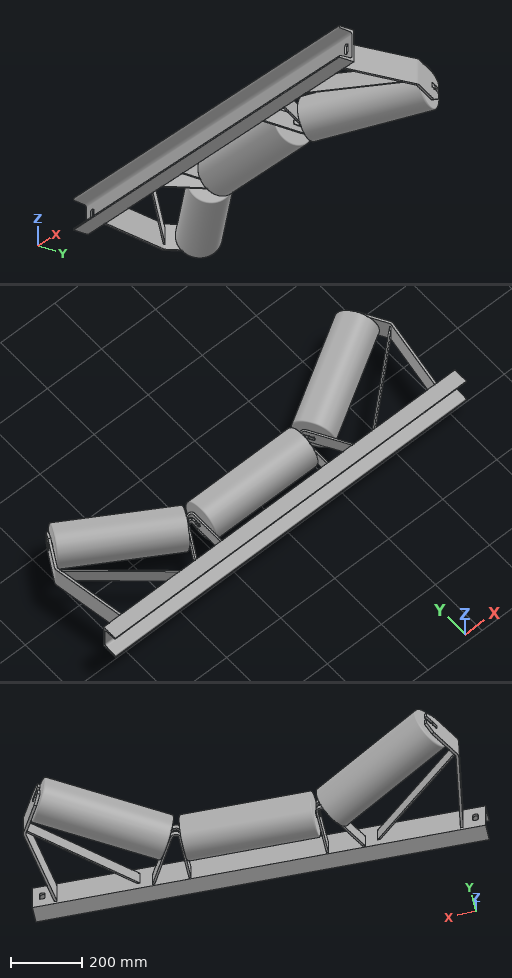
import cadquery as cq
import math

beam_length = 1300.0
beam_height = 100.0
beam_depth = 50.0
web_thickness = 6.0
flange_thickness = 8.5
flange_slope = 0.08
root_radius = 8.5
toe_radius = 4.5
beam_slot_width = 16.0
beam_slot_height = 32.0
beam_slot_end_distance = 29.0

roller_diameter = 133.0
roller_length = 380.0
roller_edge_radius = 5.0
shaft_diameter = 20.0
shaft_flat_width = 14.0
end_gap = 4.0
trough_angle = 30.0
forward_tilt = 2.96
center_roller_y = 118.0
center_roller_z = -19.0
side_roller_x = -400.0
side_roller_y = 223.9
side_roller_z = center_roller_z / 2

plate_height = 80.0
plate_thickness = 8.0
bend_radius = 8.0
inner_bend_radius = 6.0
inner_bracket_top = 150.0
outer_foot_x = -582.0
outer_bend_y = 238.0
outer_tip_above_shaft = 34.0
tip_chamfer_along = 31.0
tip_chamfer_across = 15.0
brace_thickness = 5.0
brace_height = 50.0
inner_plate_thickness = 6.0
inner_plate_height = 50.0
brace_foot_x = -344.0
brace_top_y = 240.0

shaft_half_length = roller_length / 2 + end_gap + plate_thickness
plate_mid_offset = shaft_half_length - plate_thickness / 2
inner_plate_mid_offset = roller_length / 2 + end_gap + inner_plate_thickness / 2
sin_trough = math.sin(math.radians(trough_angle))
cos_trough = math.cos(math.radians(trough_angle))
sin_tilt = math.sin(math.radians(forward_tilt))
cos_tilt = math.cos(math.radians(forward_tilt))
trim_margin = 20.0

center_plane = cq.Plane(
    origin=(0, center_roller_y, center_roller_z),
    xDir=(0, 1, 0),
    normal=(1, 0, 0),
)
side_plane = cq.Plane(
    origin=(side_roller_x, side_roller_y, side_roller_z),
    xDir=(sin_trough, cos_trough, 0),
    normal=(cos_trough * cos_tilt, -sin_trough * cos_tilt, -sin_tilt),
)


def mirrored(body):
    return body.mirror("YZ")


def make_beam():
    top = beam_height / 2
    mid_flange = beam_depth / 2
    toe_z = top - flange_thickness + flange_slope * mid_flange
    root_z = top - flange_thickness - flange_slope * (mid_flange - web_thickness)
    profile = (
        cq.Workplane("YZ")
        .polyline([
            (0, -top), (0, top), (-beam_depth, top), (-beam_depth, toe_z), (-web_thickness, root_z),
            (-web_thickness, -root_z), (-beam_depth, -toe_z), (-beam_depth, -top),
        ])
        .close()
        .extrude(beam_length / 2, both=True)
    )
    roots = cq.selectors.BoxSelector(
        (-1, -web_thickness - 1, -root_z - 1), (1, -web_thickness + 1, root_z + 1)
    )
    toes = cq.selectors.BoxSelector(
        (-1, -beam_depth - 1, -toe_z - 1), (1, -beam_depth + 1, toe_z + 1)
    )
    beam = profile.edges("|X").edges(roots).fillet(root_radius)
    beam = beam.edges("|X").edges(toes).fillet(toe_radius)
    slot_x = beam_length / 2 - beam_slot_end_distance
    slots = (
        cq.Workplane("XZ")
        .pushPoints([(-slot_x, 0), (slot_x, 0)])
        .slot2D(beam_slot_height, beam_slot_width, 90)
        .extrude(beam_depth)
    )
    return beam.cut(slots)


def make_roller(plane):
    shell = (
        cq.Workplane(plane)
        .workplane(offset=-roller_length / 2)
        .circle(roller_diameter / 2)
        .extrude(roller_length)
        .edges("%CIRCLE")
        .fillet(roller_edge_radius)
    )
    shaft = cq.Workplane(plane).circle(shaft_diameter / 2).extrude(shaft_half_length, both=True)
    flats = cq.Workplane(plane).box(shaft_diameter, shaft_flat_width, 2 * shaft_half_length)
    return shell.union(shaft.intersect(flats))


def shaft_slot(plane, direction):
    """Slot with a round bottom, open toward local X, at one shaft end."""
    reach = roller_diameter
    length = plate_thickness * 4
    start = direction * (plate_mid_offset - length / 2)
    opening = (
        cq.Workplane(plane).workplane(offset=start)
        .center(reach / 2, 0)
        .rect(reach, shaft_flat_width)
        .extrude(direction * length)
    )
    bottom = cq.Workplane(plane).workplane(offset=start).circle(shaft_diameter / 2).extrude(direction * length)
    flats = cq.Workplane(plane).box(shaft_diameter, shaft_flat_width, 4 * shaft_half_length)
    return opening.union(bottom.intersect(flats))


def offset_path(points, distance):
    """Open path moved sideways by distance, with mitred corners."""
    normals = []
    for start, end in zip(points, points[1:]):
        length = math.dist(start, end)
        normals.append(((start[1] - end[1]) / length, (end[0] - start[0]) / length))
    before = normals[:1] + normals
    after = normals + normals[-1:]
    moved = []
    for point, a, b in zip(points, before, after):
        scale = distance / (1 + a[0] * b[0] + a[1] * b[1])
        moved.append((point[0] + scale * (a[0] + b[0]), point[1] + scale * (a[1] + b[1])))
    return moved


def make_strip(path, thickness, height, inside_radius=0):
    """Upright strip along a path in XY, centred on Z = 0, with rounded bends and trimmed at Y = 0."""
    left = offset_path(path, thickness / 2)
    right = offset_path(path, -thickness / 2)
    strip = cq.Workplane("XY").polyline(left + right[::-1]).close().extrude(height / 2, both=True)
    for i in range(1, len(path) - 1):
        a, b, c = path[i - 1], path[i], path[i + 1]
        turn = (b[0] - a[0]) * (c[1] - b[1]) - (b[1] - a[1]) * (c[0] - b[0])
        inside, outside = (left[i], right[i]) if turn > 0 else (right[i], left[i])
        for corner, radius in ((inside, inside_radius), (outside, inside_radius + thickness)):
            strip = strip.edges(cq.selectors.NearestToPointSelector((*corner, 0))).fillet(radius)
    beam_side = cq.Workplane("XY").box(beam_length, beam_length, beam_height).translate((0, -beam_length / 2, 0))
    return strip.cut(beam_side)


def side_point(along, up):
    """Point in XY at a distance along the side roller axis and up across it."""
    return (
        side_roller_x + along * cos_trough + up * sin_trough,
        side_roller_y - along * sin_trough + up * cos_trough,
    )


def side_point_at_y(along, y):
    up = (y - side_roller_y + along * sin_trough) / cos_trough
    return side_point(along, up)


outer_bend = side_point_at_y(-plate_mid_offset, outer_bend_y)


def make_outer_bracket():
    bend_x, bend_y = outer_bend
    foot_run = (outer_foot_x - bend_x) / bend_y
    foot = (outer_foot_x + foot_run * trim_margin, -trim_margin)
    tip = side_point(-plate_mid_offset, outer_tip_above_shaft)
    plate = make_strip([foot, outer_bend, tip], plate_thickness, plate_height, bend_radius)
    tip_plane = cq.Plane(
        origin=(*tip, 0), xDir=(sin_trough, cos_trough, 0), normal=(cos_trough, -sin_trough, 0)
    )
    for side in (1, -1):
        edge = side * plate_height / 2
        corner = (
            cq.Workplane(tip_plane)
            .polyline([(0, edge), (-tip_chamfer_along, edge), (0, edge - side * tip_chamfer_across)])
            .close()
            .extrude(plate_thickness, both=True)
        )
        plate = plate.cut(corner)
    return plate.cut(shaft_slot(side_plane, -1))


def make_inner_bracket():
    top = inner_bracket_top - inner_plate_thickness / 2
    path = [
        (-inner_plate_mid_offset, -trim_margin),
        (-inner_plate_mid_offset, top),
        side_point_at_y(inner_plate_mid_offset, top),
        side_point_at_y(inner_plate_mid_offset, -trim_margin),
    ]
    plate = make_strip(path, inner_plate_thickness, inner_plate_height, inner_bend_radius)
    plate = plate.translate((0, 0, center_roller_z))
    plate = plate.cut(shaft_slot(center_plane, -1))
    return plate.cut(shaft_slot(side_plane, 1))


def make_brace(outer_bracket):
    head = side_point_at_y(-plate_mid_offset, brace_top_y)
    foot_run = (brace_foot_x - head[0]) / brace_top_y
    foot = (brace_foot_x + foot_run * trim_margin, -trim_margin)
    return make_strip([head, foot], brace_thickness, brace_height).cut(outer_bracket)


beam = make_beam()
center_roller = make_roller(center_plane)
side_roller = make_roller(side_plane)
outer_bracket = make_outer_bracket()
inner_bracket = make_inner_bracket()
brace = make_brace(outer_bracket)

bodies = [beam.val(), center_roller.val()]
for body in (side_roller, outer_bracket, inner_bracket, brace):
    bodies.append(body.val())
    bodies.append(mirrored(body).val())

result = cq.Compound.makeCompound(bodies)